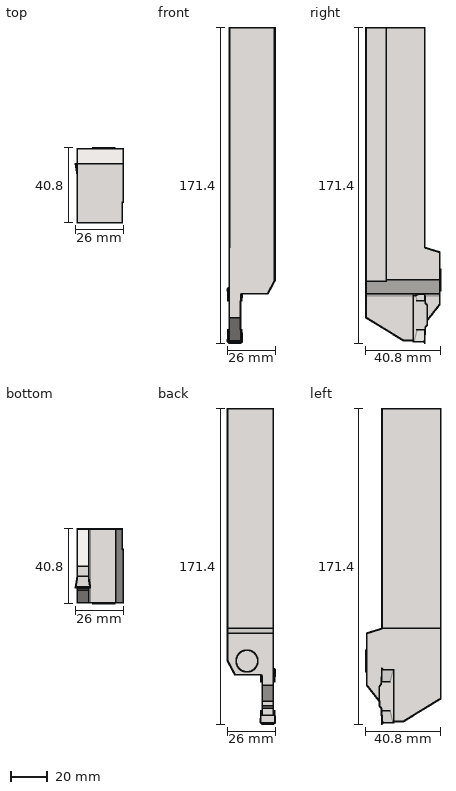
import cadquery as cq


TOTAL_LENGTH = 171.4
HOLDER_WIDTH = 25.0
SHANK_DEPTH = 32.0
HEAD_DEPTH = 40.3
HEAD_TOP_Z = 52.0
HEAD_SHOULDER_Z = 49.3
HEAD_BACK_BOTTOM_Z = 21.0
HEAD_FRONT_BOTTOM_Z = 13.9
HEAD_BOTTOM_Z = 1.4
INSERT_SLOPE_Z = 12.3
HEAD_BOTTOM_FRONT_Y = 20.4
SHANK_SIDE_STEP = 0.09

BLADE_WIDTH = 6.2
LEDGE_Z = 26.7
LEDGE_CORNER_X = 20.9
CORNER_CHAMFER_TOP_Z = 34.5
BLADE_FILLET = 1.0

RELIEF_STEP = 0.5
RELIEF_DEPTH_Y = 11.1

PAD_DIAMETER = 11.8
PAD_HEIGHT = 0.5
PAD_X = 14.4
PAD_Z = 34.3

INSERT_LENGTH = 30.3
INSERT_FRONT_Y = 25.7
RAKE_FACE_Y = 32.0
CHIP_WALL_Y = 32.4
INSERT_BACK_Y = 33.4
TIP_CLEARANCE = 0.7
TIP_LIP_DEPTH = 0.5
TIP_CORNER_CHAMFER = 1.0
RAKE_FACE_LENGTH = 4.8
CHIP_WALL_END_Z = 8.5
INSERT_BACK_START_Z = 10.0
FLARE_LENGTH = 7.4
FLARE_TIP_WIDTH = 1.0
FLARE_END_WIDTH = 0.7
FLARE_TIP_FRONT_Y = 25.9
FLARE_END_FRONT_Y = 27.8


def extrude_side_outline(points, width):
    """Extrude a closed (Y, Z) outline along +X from X = 0."""
    return cq.Workplane("YZ").polyline(points).close().extrude(width)


def make_flare_blank():
    """Lower cutting end, tapering inward toward its front and its inner end."""
    def section(front_y, overhang):
        return [
            (0, front_y),
            (BLADE_WIDTH, front_y),
            (BLADE_WIDTH + overhang, RAKE_FACE_Y),
            (-overhang, RAKE_FACE_Y),
        ]

    return (
        cq.Workplane("XY")
        .polyline(section(FLARE_TIP_FRONT_Y, FLARE_TIP_WIDTH)).close()
        .workplane(offset=FLARE_LENGTH)
        .polyline(section(FLARE_END_FRONT_Y, FLARE_END_WIDTH)).close()
        .loft(ruled=True)
    )


def make_tip_corner_envelope():
    """Block whose two lower corners are chamfered like the insert tip."""
    left_x = -FLARE_TIP_WIDTH
    right_x = BLADE_WIDTH + FLARE_TIP_WIDTH
    return (
        cq.Workplane("XZ")
        .polyline([
            (left_x, FLARE_LENGTH),
            (left_x, TIP_CORNER_CHAMFER),
            (left_x + TIP_CORNER_CHAMFER, 0),
            (right_x - TIP_CORNER_CHAMFER, 0),
            (right_x, TIP_CORNER_CHAMFER),
            (right_x, FLARE_LENGTH),
        ])
        .close()
        .extrude(-INSERT_BACK_Y)
    )


def make_insert():
    lower_points = [
        (INSERT_FRONT_Y, TIP_CLEARANCE),
        (RAKE_FACE_Y - TIP_LIP_DEPTH, TIP_CLEARANCE),
        (RAKE_FACE_Y, 0),
        (RAKE_FACE_Y, RAKE_FACE_LENGTH),
        (CHIP_WALL_Y, RAKE_FACE_LENGTH),
        (CHIP_WALL_Y, CHIP_WALL_END_Z),
        (INSERT_BACK_Y, INSERT_BACK_START_Z),
    ]
    upper_points = [(y, INSERT_LENGTH - z) for y, z in reversed(lower_points)]
    outline = lower_points + upper_points
    insert = extrude_side_outline(outline, BLADE_WIDTH)

    envelope = extrude_side_outline(outline, BLADE_WIDTH + 2 * FLARE_TIP_WIDTH)
    envelope = envelope.translate((-FLARE_TIP_WIDTH, 0, 0))
    lower_flare = make_flare_blank().intersect(envelope).intersect(make_tip_corner_envelope())
    upper_flare = lower_flare.mirror("XY", (0, 0, INSERT_LENGTH / 2))
    return insert.union(lower_flare).union(upper_flare)


def make_holder_blank():
    outline = [
        (0, TOTAL_LENGTH),
        (0, HEAD_FRONT_BOTTOM_Z),
        (HEAD_BOTTOM_FRONT_Y, HEAD_BOTTOM_Z),
        (INSERT_FRONT_Y, HEAD_BOTTOM_Z),
        (INSERT_FRONT_Y, INSERT_SLOPE_Z),
        (INSERT_BACK_Y, INSERT_SLOPE_Z),
        (HEAD_DEPTH, HEAD_BACK_BOTTOM_Z),
        (HEAD_DEPTH, HEAD_SHOULDER_Z),
        (SHANK_DEPTH, HEAD_TOP_Z),
        (SHANK_DEPTH, TOTAL_LENGTH),
    ]
    return extrude_side_outline(outline, HOLDER_WIDTH)


def make_blade_clearance():
    """Space beside the blade, below the ledge and the chamfered corner."""
    ledge_and_blade = (
        cq.Workplane("XZ")
        .moveTo(BLADE_WIDTH, 0)
        .lineTo(BLADE_WIDTH, LEDGE_Z - BLADE_FILLET)
        .radiusArc((BLADE_WIDTH + BLADE_FILLET, LEDGE_Z), BLADE_FILLET)
        .lineTo(LEDGE_CORNER_X, LEDGE_Z)
        .lineTo(HOLDER_WIDTH, CORNER_CHAMFER_TOP_Z)
        .lineTo(HOLDER_WIDTH, 0)
        .close()
    )
    return ledge_and_blade.extrude(-HEAD_DEPTH)


def make_side_relief():
    return cq.Workplane("XY").box(
        RELIEF_STEP, RELIEF_DEPTH_Y, TOTAL_LENGTH, centered=False
    ).translate((HOLDER_WIDTH - RELIEF_STEP, 0, 0))


def make_shank_step():
    return cq.Workplane("XY").box(
        SHANK_SIDE_STEP, SHANK_DEPTH, TOTAL_LENGTH - HEAD_TOP_Z, centered=False
    ).translate((0, 0, HEAD_TOP_Z))


def make_pad():
    return (
        cq.Workplane("XZ", origin=(PAD_X, HEAD_DEPTH, PAD_Z))
        .circle(PAD_DIAMETER / 2)
        .extrude(-PAD_HEIGHT)
    )


def make_holder(insert):
    return (
        make_holder_blank()
        .cut(make_blade_clearance())
        .cut(make_side_relief())
        .cut(make_shank_step())
        .union(make_pad())
        .cut(insert)
    )


insert = make_insert()
holder = make_holder(insert)
result = cq.Compound.makeCompound([*holder.solids().vals(), *insert.solids().vals()])